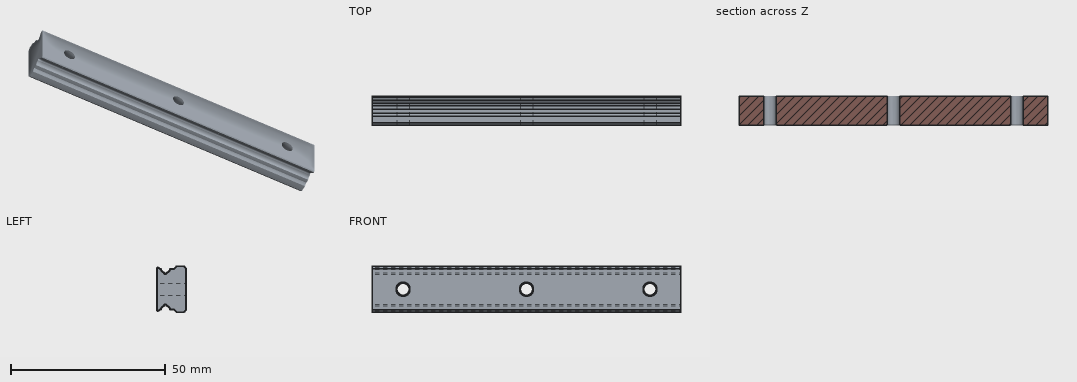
import cadquery as cq
import math

rail_length = 100.0
rail_height = 9.5
rail_width = 15.0
half_width = rail_width / 2

base_chamfer = 0.8
foot_height = 3.01
neck_half_width = 6.63

groove_height = 6.7
groove_offset = 6.84
groove_radius = 1.5
groove_top_height = 8.16

relief_height = 6.8
relief_half_opening = 0.38
relief_offset = 4.9

tip_height = 9.14
lip_angle = 30.0
lip_slope = math.tan(math.radians(lip_angle))

hole_count = 3
hole_pitch = 40.0
hole_radius = 2.0
hole_chamfer = 0.25


def groove_offset_at(height):
    """Distance from the mid-plane to the ball groove wall at the given height."""
    return groove_offset - math.sqrt(groove_radius**2 - (height - groove_height) ** 2)


def groove_point(height):
    """Point of the ball groove wall at the given height."""
    return (height, groove_offset_at(height))


def half_rail():
    """The +Z half of the rail, extruded along X."""
    neck_start = foot_height + half_width - neck_half_width
    groove_start = groove_height - math.sqrt(groove_radius**2 - (groove_offset - neck_half_width) ** 2)
    relief_start = relief_height - relief_half_opening
    relief_end = relief_height + relief_half_opening
    groove_end_offset = groove_offset_at(groove_top_height)
    tip_offset = groove_end_offset + (tip_height - groove_top_height) * lip_slope
    back_offset = tip_offset - (rail_height - tip_height) * lip_slope

    section = (
        cq.Workplane("YZ")
        .lineTo(0, half_width - base_chamfer)
        .lineTo(base_chamfer, half_width)
        .lineTo(foot_height, half_width)
        .lineTo(neck_start, neck_half_width)
        .lineTo(groove_start, neck_half_width)
        .threePointArc(groove_point((groove_start + relief_start) / 2), groove_point(relief_start))
        .threePointArc((relief_height, relief_offset), groove_point(relief_end))
        .threePointArc(
            groove_point((relief_end + groove_top_height) / 2),
            groove_point(groove_top_height),
        )
        .lineTo(tip_height, tip_offset)
        .lineTo(rail_height, back_offset)
        .lineTo(rail_height, 0)
        .close()
    )
    return section.extrude(rail_length / 2, both=True)


def mounting_hole(x):
    """Through hole along Y with a chamfered mouth on the base."""
    mouth_radius = hole_radius + hole_chamfer
    outline = [
        (0, 0),
        (mouth_radius, 0),
        (hole_radius, hole_chamfer),
        (hole_radius, rail_height),
        (0, rail_height),
    ]
    cutter = cq.Workplane("XY").polyline(outline).close().revolve(360, (0, 0, 0), (0, 1, 0))
    return cutter.translate((x, 0, 0))


upper_half = half_rail()
result = upper_half.union(upper_half.mirror("XY")).clean()
for index in range(hole_count):
    hole_x = (index - (hole_count - 1) / 2) * hole_pitch
    result = result.cut(mounting_hole(hole_x))